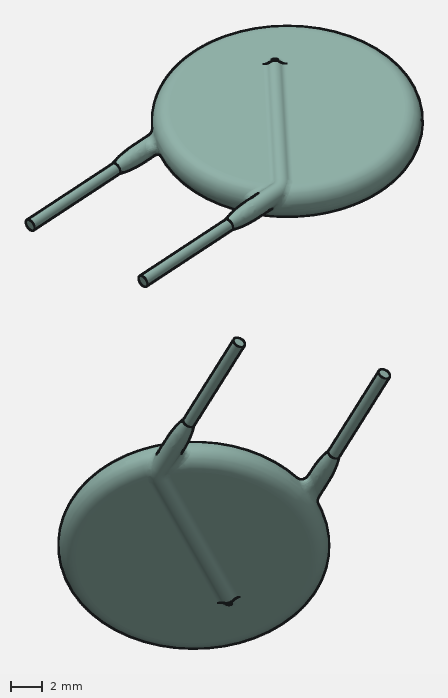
import cadquery as cq
import math

disc_diameter = 17.0
disc_thickness = 2.3
rim_radius = 1.1

wire_diameter = 0.8
lead_offset_x = 5.0
lead_height = 0.75
lead_tip_y = -17.8
corner_y = -5.5
bend_radius = 1.0

ridge_radius = 0.65
ridge_end_x = -3.5
ridge_end_y = 2.4
ridge_straight_end_y = -8.2
ridge_taper_length = 2.0
blend_radius = 0.5
ridge_foot_radius = 0.65

wire_radius = wire_diameter / 2
coating_over_wire = ridge_radius - wire_radius

diagonal_length = math.hypot(lead_offset_x - ridge_end_x, corner_y - ridge_end_y)
diagonal_x = (lead_offset_x - ridge_end_x) / diagonal_length
diagonal_y = (corner_y - ridge_end_y) / diagonal_length
bend_angle = math.acos(-diagonal_y)
bend_setback = bend_radius * math.tan(bend_angle / 2)


def bent_rod(radius, inner_trim, outer_y):
    """Round rod along the diagonal, the bend and the straight run to outer_y, above the disc."""
    start = (ridge_end_x + inner_trim * diagonal_x, ridge_end_y + inner_trim * diagonal_y)
    bend_start = (lead_offset_x - bend_setback * diagonal_x, corner_y - bend_setback * diagonal_y)
    bend_end = (lead_offset_x, corner_y - bend_setback)
    path = (
        cq.Workplane("XY", origin=(0, 0, lead_height))
        .moveTo(*start)
        .lineTo(*bend_start)
        .tangentArcPoint(bend_end, relative=False)
        .lineTo(lead_offset_x, outer_y)
    )
    section_plane = cq.Plane(
        origin=(start[0], start[1], lead_height),
        xDir=(0, 0, -1),
        normal=(diagonal_x, diagonal_y, 0),
    )
    return cq.Workplane(section_plane).circle(radius).sweep(path)


def ridge_taper():
    """Nose of the ridge, narrowing along an arc from the ridge radius to the wire radius."""
    arc_radius = (ridge_taper_length**2 + coating_over_wire**2) / (2 * coating_over_wire)
    half_sweep = math.asin(ridge_taper_length / arc_radius) / 2
    arc_middle = (
        ridge_radius - arc_radius * (1 - math.cos(half_sweep)),
        -arc_radius * math.sin(half_sweep),
    )
    return (
        cq.Workplane("XY", origin=(lead_offset_x, ridge_straight_end_y, lead_height))
        .lineTo(ridge_radius, 0)
        .threePointArc(arc_middle, (wire_radius, -ridge_taper_length))
        .lineTo(0, -ridge_taper_length)
        .close()
        .revolve(360, (0, 0, 0), (0, 1, 0))
    )


def ridge_foot():
    """Half-round flared foot beyond the inner end of the ridge, with a concave flank to the disc face."""
    face_z = disc_thickness / 2
    top_z = lead_height + ridge_radius
    flare_centre = (ridge_foot_radius, face_z + blend_radius)

    def flank_point(z):
        drop = flare_centre[1] - z
        return (flare_centre[0] - math.sqrt(blend_radius**2 - drop**2), z)

    end_plane = cq.Plane(
        origin=(ridge_end_x, ridge_end_y, 0),
        xDir=(-diagonal_y, diagonal_x, 0),
        normal=(diagonal_x, diagonal_y, 0),
    )
    return (
        cq.Workplane(end_plane)
        .moveTo(0, lead_height)
        .lineTo(ridge_foot_radius, lead_height)
        .lineTo(ridge_foot_radius, face_z)
        .threePointArc(flank_point((face_z + top_z) / 2), flank_point(top_z))
        .lineTo(0, top_z)
        .close()
        .revolve(180, (0, 0, 0), (0, 1, 0))
    )


def turned_over(part):
    """Copy of a part turned half a turn about Y, to the other face of the disc."""
    return part.rotate((0, 0, 0), (0, 1, 0), 180)


disc = (
    cq.Workplane("XY", origin=(0, 0, -disc_thickness / 2))
    .circle(disc_diameter / 2)
    .extrude(disc_thickness)
    .edges()
    .fillet(rim_radius)
)

upper_lead = bent_rod(wire_radius, coating_over_wire, lead_tip_y)
leads = [upper_lead, turned_over(upper_lead)]

upper_ridge = bent_rod(ridge_radius, 0, ridge_straight_end_y)
coating = disc.union(upper_ridge).union(turned_over(upper_ridge))
coating = coating.edges("%BSPLINE").fillet(blend_radius)
for ridge_end in (ridge_foot(), ridge_taper()):
    coating = coating.union(ridge_end).union(turned_over(ridge_end))
for lead in leads:
    coating = coating.cut(lead)

result = cq.Compound.makeCompound([coating.solids().val(), *(lead.val() for lead in leads)])